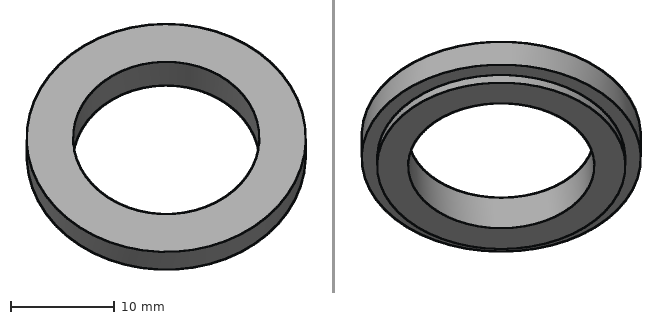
import cadquery as cq

flange_diameter = 27.0
spigot_diameter = 24.0
bore_diameter = 18.0
total_height = 4.0
spigot_height = 1.0
flange_height = total_height - spigot_height

spigot = cq.Workplane("XY").circle(spigot_diameter / 2).extrude(spigot_height)

flange = (
    cq.Workplane("XY")
    .workplane(offset=spigot_height)
    .circle(flange_diameter / 2)
    .extrude(flange_height)
)

bore = cq.Workplane("XY").circle(bore_diameter / 2).extrude(total_height)

result = spigot.union(flange).cut(bore)